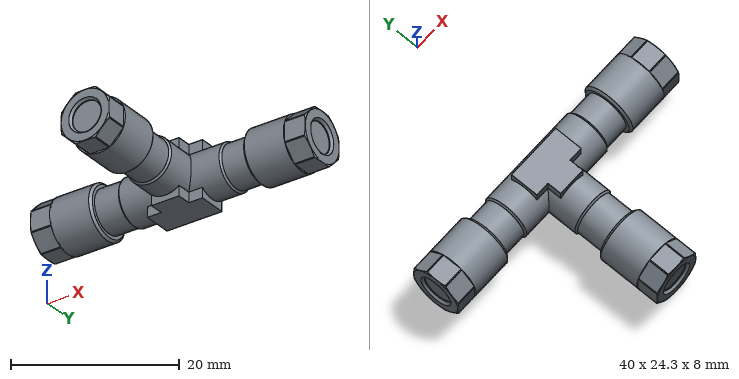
import cadquery as cq
import math

run_reach = 20.0
branch_reach = 20.5

body_diameter = 6.5
body_reach = 7.5
block_width = 8.0
block_height = 8.0
block_arm_width = 4.0

neck_diameter = 6.0
sleeve_diameter = 7.5
sleeve_and_nut_length = 9.0
sleeve_chamfer = 0.3
nut_length = 3.0
nut_across_flats = 7.0
nut_sides = 8

nut_face_diameter = 6.9
nut_bevel_length = 0.1

recess_diameter = 4.2
recess_depth = 0.5
mouth_diameter = 4.7
mouth_depth = 0.35

shoulder_chamfer = (body_diameter - neck_diameter) / 2


def cylinder(diameter, start, end):
    """Round bar along +Z from start to end."""
    return cq.Workplane("XY", origin=(0, 0, start)).circle(diameter / 2).extrude(end - start)


def cone(start_diameter, end_diameter, start, end):
    """Round tapered bar along +Z from start to end."""
    return (
        cq.Workplane("XY", origin=(0, 0, start))
        .circle(start_diameter / 2)
        .workplane(offset=end - start)
        .circle(end_diameter / 2)
        .loft()
    )


def octagonal_end(start, end):
    """Octagon with flats facing the main axes and corners turned down, beveled at its end face."""
    corner_diameter = nut_across_flats / math.cos(math.pi / nut_sides)
    octagon = (
        cq.Workplane("XY", origin=(0, 0, start))
        .polygon(nut_sides, corner_diameter)
        .extrude(end - start)
        .rotate((0, 0, 0), (0, 0, 1), 180 / nut_sides)
    )
    bevel_start = end - nut_bevel_length
    turned_blank = cylinder(sleeve_diameter, start, bevel_start).union(
        cone(sleeve_diameter, nut_face_diameter, bevel_start, end)
    )
    return octagon.intersect(turned_blank)


def end_recess(reach):
    """Flat-bottomed round recess that widens toward the end face."""
    bore = cylinder(recess_diameter, reach - recess_depth, reach)
    mouth = cone(recess_diameter, mouth_diameter, reach - mouth_depth, reach)
    return bore.union(mouth)


def arm(reach):
    """One complete arm along +Z, starting at the crossing of the tube axes."""
    sleeve_start = reach - sleeve_and_nut_length
    nut_start = reach - nut_length
    tube = cylinder(body_diameter, 0, body_reach).faces(">Z").chamfer(shoulder_chamfer)
    neck = cylinder(neck_diameter, 0, sleeve_start)
    sleeve = cylinder(sleeve_diameter, sleeve_start, nut_start).faces("<Z").chamfer(sleeve_chamfer)
    nut = octagonal_end(nut_start, reach)
    return tube.union(neck).union(sleeve).union(nut).cut(end_recess(reach))


def center_block():
    """T-shaped block standing proud of the tubes above and below."""
    run_bar = cq.Workplane("XY").box(block_width, block_arm_width, block_height)
    branch_length = block_width / 2
    branch_bar = (
        cq.Workplane("XY", origin=(0, -branch_length / 2, 0))
        .box(block_arm_width, branch_length, block_height)
    )
    return run_bar.union(branch_bar)


run_arm = arm(run_reach)
right_arm = run_arm.rotate((0, 0, 0), (0, 1, 0), 90)
left_arm = run_arm.rotate((0, 0, 0), (0, 1, 0), -90)
branch_arm = arm(branch_reach).rotate((0, 0, 0), (1, 0, 0), 90)

result = right_arm.union(left_arm).union(branch_arm).union(center_block())